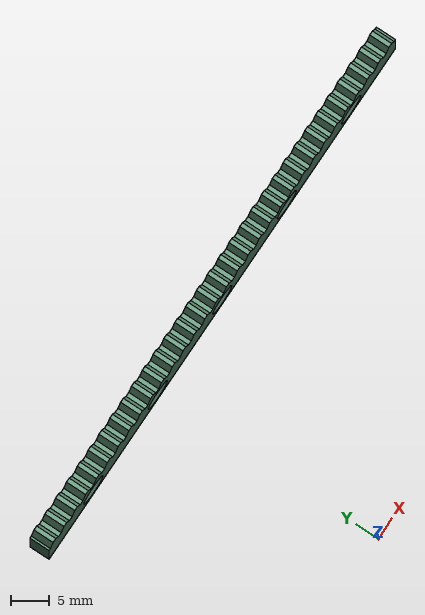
import cadquery as cq
import math

length = 80.6
thickness = 3.0
height = 8.0

tooth_count = 32
flank_angle = 22.5
pitch = length / tooth_count
tooth_height = 1.5
root_z = height - tooth_height
flank_run = tooth_height * math.tan(math.radians(flank_angle))
half_tip = (pitch / 2 - flank_run) / 2
half_root = half_tip + flank_run

hole_count = 5
hole_spacing = 15.0
hole_z = 3.0
hole_diameter = 2.25
countersink_diameter = 4.4
countersink_angle = 90.0


def tooth_points(center_x):
    """Corners of one tooth, from left root to right root."""
    return [
        (center_x - half_root, root_z),
        (center_x - half_tip, height),
        (center_x + half_tip, height),
        (center_x + half_root, root_z),
    ]


def rack_body():
    """Toothed bar centred on X = 0, with its -Y face at Y = 0."""
    outline = [(length / 2, 0), (-length / 2, 0), (-length / 2, root_z)]
    for index in range(tooth_count):
        outline += tooth_points((index + 0.5) * pitch - length / 2)
    outline.append((length / 2, root_z))
    return cq.Workplane("XZ").polyline(outline).close().extrude(-thickness)


def drill_holes(body):
    """Cut the evenly spaced row of countersunk holes, centred along the length."""
    first_x = -(hole_count - 1) * hole_spacing / 2
    centers = [(first_x + index * hole_spacing, hole_z) for index in range(hole_count)]
    return (
        body.faces("<Y")
        .workplane(origin=(0, 0, 0))
        .pushPoints(centers)
        .cskHole(hole_diameter, countersink_diameter, countersink_angle)
    )


result = drill_holes(rack_body())